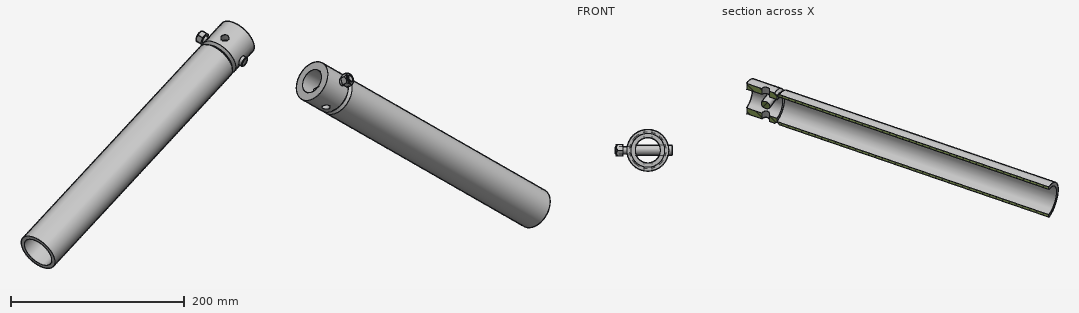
import cadquery as cq

total_length = 389.0
outer_diameter = 48.2
tube_bore = 39.0
collar_bore = 28.8
collar_length = 39.3
joint_chamfer = 3.0

back_end = total_length / 2
front_end = -total_length / 2
joint_y = back_end - collar_length

pin_y = back_end - 24.5
pin_diameter = 11.5
pin_right_end = 28.5
pin_shoulder_x = -19.5
stud_diameter = 8.5
stud_left_end = -37.7
pin_chamfer = 0.8

nut_across_flats = 13.5
nut_height = 7.8
nut_left_face = -36.5
nut_chamfer_length = 2.0
nut_face_radius = nut_across_flats / 2 - 0.5
hexagon_sides = 6
corner_ratio = 2 / 3 ** 0.5
nut_corner_diameter = nut_across_flats * corner_ratio

cross_hole_diameter = 9.5


def cylinder_y(diameter, y_start, y_end):
    """Solid cylinder on the Y axis."""
    return cq.Workplane("XZ", origin=(0, y_start, 0)).circle(diameter / 2).extrude(y_start - y_end)


def cylinder_x(diameter, x_start, x_end):
    """Solid cylinder along X, on the pin axis."""
    return cq.Workplane("YZ", origin=(x_start, pin_y, 0)).circle(diameter / 2).extrude(x_end - x_start)


def make_tube():
    """Plain tube, bevelled on the outside where it meets the collar."""
    body = cylinder_y(outer_diameter, front_end, joint_y).faces(">Y").chamfer(joint_chamfer)
    return body.cut(cylinder_y(tube_bore, front_end, joint_y))


def make_collar():
    """Thick-walled collar with a bevelled joint edge, pin seat and vertical hole."""
    body = cylinder_y(outer_diameter, joint_y, back_end).faces("<Y").chamfer(joint_chamfer)
    bore = cylinder_y(collar_bore, joint_y, back_end)
    cross_hole = (
        cq.Workplane("XY", origin=(0, pin_y, 0))
        .circle(cross_hole_diameter / 2)
        .extrude(outer_diameter, both=True)
    )
    pin_seat = cylinder_x(pin_diameter, pin_shoulder_x, outer_diameter)
    stud_hole = cylinder_x(stud_diameter, -outer_diameter, pin_shoulder_x)
    return body.cut(bore).cut(cross_hole).cut(pin_seat).cut(stud_hole)


def make_pin():
    """Stepped pin with a chamfer at each end."""
    shank = cylinder_x(pin_diameter, pin_shoulder_x, pin_right_end).faces(">X").chamfer(pin_chamfer)
    stud = cylinder_x(stud_diameter, stud_left_end, pin_shoulder_x).faces("<X").chamfer(pin_chamfer)
    return shank.union(stud)


def make_nut():
    """Hexagonal nut, coned at the corners of its outer face."""
    hexagon = (
        cq.Workplane("YZ", origin=(nut_left_face, pin_y, 0))
        .polygon(hexagon_sides, nut_corner_diameter)
        .extrude(nut_height)
    )
    corner_radius = nut_corner_diameter / 2
    cone_profile = [
        (0, 0),
        (0, nut_face_radius),
        (nut_chamfer_length, corner_radius),
        (nut_height, corner_radius),
        (nut_height, 0),
    ]
    coned_blank = (
        cq.Workplane("XY", origin=(nut_left_face, pin_y, 0))
        .polyline(cone_profile)
        .close()
        .revolve(360, (0, 0, 0), (1, 0, 0))
    )
    thread_hole = cylinder_x(stud_diameter, nut_left_face, nut_left_face + nut_height)
    return hexagon.intersect(coned_blank).cut(thread_hole)


tube = make_tube()
collar = make_collar()
pin = make_pin()
nut = make_nut()

result = cq.Compound.makeCompound([tube.val(), collar.val(), pin.val(), nut.val()])